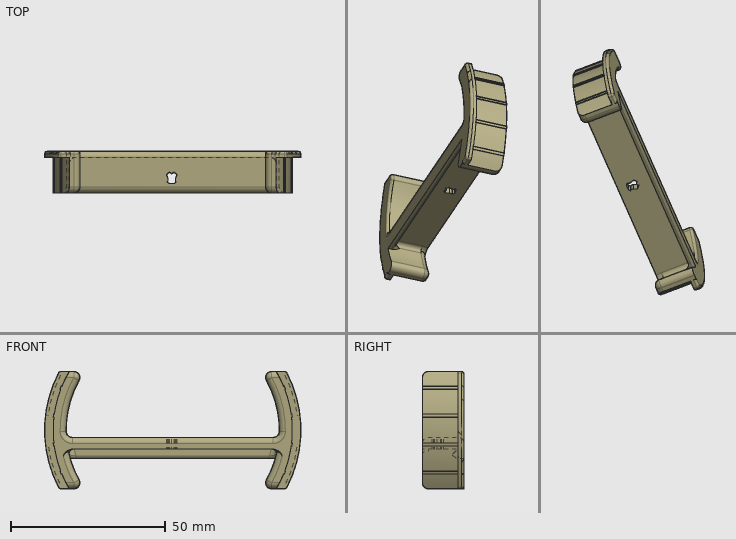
import cadquery as cq
import math

length = 83.0
depth = 13.5
height = 38.0
half_height = height / 2
front_y = -depth / 2
back_y = depth / 2

rim_radius = 40.0
pad_radius = 37.2
inner_radius = 32.95
curve_center_x = length / 2 - rim_radius
edge_round = 2.0

rim_thickness = 2.0
rim_corner_round = 1.0
rim_back_round = 0.9

bar_top = -2.3
bar_bottom = -6.15
bar_end_x = curve_center_x + (pad_radius + inner_radius) / 2
blend_end_x = bar_end_x + 0.6
split_z = (bar_top - edge_round + bar_bottom) / 2
blend_round = 1.4

lip_bottom = -9.2
lip_front_y = back_y - 2.0
lip_round = 0.9
lip_blend_round = 2.0

ridge_angles = (-21.6, -7.2, 7.2, 21.6)
ridge_width = 1.0
ridge_height = 0.25

hole_center = (-0.3, -1.8)
hole_half = [(0, 1.25), (0.75, 1.8), (1.7, 1.0), (1.2, -0.25), (1.2, -1.1), (1.4, -1.3), (0.8, -1.8)]


def arc_x(radius, z):
    """X of the right-hand arc of the given radius at height z."""
    return curve_center_x + math.sqrt(radius**2 - z**2)


def box(x_range, y_range, z_range):
    """Block between the given limits."""
    lows, highs = zip(x_range, y_range, z_range)
    sizes = [high - low for low, high in zip(lows, highs)]
    return cq.Workplane("XY").box(*sizes, centered=False).translate(lows)


def end_plate(outer_radius, y_start, thickness):
    """Right-hand curved plate running toward +Y, with sharp edges."""
    outer_x = arc_x(outer_radius, half_height)
    inner_x = arc_x(inner_radius, half_height)
    return (
        cq.Workplane("XZ", origin=(0, y_start, 0))
        .moveTo(outer_x, -half_height)
        .threePointArc((arc_x(outer_radius, 0), 0), (outer_x, half_height))
        .lineTo(inner_x, half_height)
        .threePointArc((arc_x(inner_radius, 0), 0), (inner_x, -half_height))
        .close()
        .extrude(-thickness)
    )


def round_tips(plate):
    """Round the inner corner at both tips of a curved plate."""
    return plate.edges("|Y").edges("<X").fillet(edge_round)


def round_inner_edge(body, x, z):
    """Round the edge parallel to Y that lies at the given X and Z."""
    nearest = cq.selectors.NearestToPointSelector((x, 0, z))
    return body.edges("|Y").edges(nearest).fillet(edge_round)


def upper_frame():
    """Upper arm and top of the bar, blended together, rounded in front and at the back."""
    arm = end_plate(pad_radius, front_y, depth)
    bar = box((0, bar_end_x), (front_y, back_y), (bar_bottom, bar_top))
    frame = arm.union(bar).intersect(box((0, length), (front_y, back_y), (split_z, half_height)))
    frame = round_inner_edge(frame, arc_x(inner_radius, bar_top), bar_top)
    frame = round_inner_edge(frame, arc_x(inner_radius, half_height), half_height)
    return frame.faces(">Z").edges("<Y or >Y").fillet(edge_round)


def lower_arm_with_lip():
    """Lower arm, rounded in front, with the lip blended into its inner face."""
    arm = round_tips(end_plate(pad_radius, front_y, depth))
    arm = arm.faces("<Z").edges("<Y").fillet(edge_round)
    arm = arm.intersect(box((0, length), (front_y, back_y), (-half_height, split_z)))
    lip = box((0, bar_end_x), (lip_front_y, back_y), (lip_bottom, split_z))
    body = arm.union(lip)
    corner = (arc_x(inner_radius, lip_bottom), lip_front_y, (lip_bottom + bar_bottom) / 2)
    body = body.edges(cq.selectors.NearestToPointSelector(corner)).fillet(lip_blend_round)
    lip_edge = (arc_x(inner_radius, lip_bottom) / 2, lip_front_y, lip_bottom)
    return body.edges(cq.selectors.NearestToPointSelector(lip_edge)).fillet(lip_round)


def blend_section(y, arm_radius, round_radius):
    """Closed outline filling the corner between the bar bottom and the lower arm."""
    center_z = bar_bottom - blend_round
    reach = inner_radius - blend_round
    center_dx = math.sqrt(reach**2 - center_z**2)
    arm_point = (curve_center_x + arm_radius * center_dx / reach, arm_radius * center_z / reach)
    bar_point = (curve_center_x + center_dx, bar_bottom)
    wire = (
        cq.Workplane("XZ", origin=(0, y, 0))
        .moveTo(*bar_point)
        .radiusArc(arm_point, round_radius)
        .lineTo(blend_end_x, bar_bottom)
        .lineTo(blend_end_x, split_z)
        .lineTo(bar_point[0], split_z)
        .close()
    )
    return wire.val()


def lower_blend():
    """Concave blend under the bar, running out where the arm's front edge is rounded."""
    rear = blend_section(back_y, inner_radius, blend_round)
    middle = blend_section(front_y + edge_round, inner_radius, blend_round)
    front = blend_section(front_y, inner_radius + edge_round, blend_round + edge_round)
    straight = cq.Workplane(cq.Solid.makeLoft([rear, middle], True))
    runout = cq.Workplane(cq.Solid.makeLoft([middle, front], True))
    return straight.union(runout)


def rim():
    """Thin curved plate at the back that overhangs the gripping face."""
    plate = round_tips(end_plate(rim_radius, back_y - rim_thickness, rim_thickness))
    plate = plate.edges("|Y").edges(">X").fillet(rim_corner_round)
    return plate.faces(">Y").edges().fillet(rim_back_round)


def ridges():
    """Low ridges along Y on the gripping face, evenly spaced around its axis."""
    x_range = (pad_radius - 0.8, pad_radius + ridge_height)
    ridge = box(x_range, (front_y, back_y - rim_thickness), (-ridge_width / 2, ridge_width / 2))
    body = cq.Workplane("XY")
    for angle in ridge_angles:
        turned = ridge.rotate((0, 0, 0), (0, 1, 0), angle)
        body = body.union(turned.translate((curve_center_x, 0, 0)))
    return body


def shaped_hole():
    """Cutter for the shaped hole, vertical through the whole bar."""
    mirrored = [(-x, y) for x, y in reversed(hole_half[1:])]
    outline = cq.Workplane("XY", origin=(*hole_center, bar_bottom)).polyline(hole_half + mirrored)
    return outline.close().extrude(bar_top - bar_bottom)


lower_bar = box((0, bar_end_x), (front_y, back_y), (bar_bottom, split_z))
right_half = upper_frame().union(lower_arm_with_lip()).union(lower_bar).union(lower_blend())
right_half = right_half.union(rim()).union(ridges())
result = right_half.union(right_half.mirror("YZ")).cut(shaped_hole())